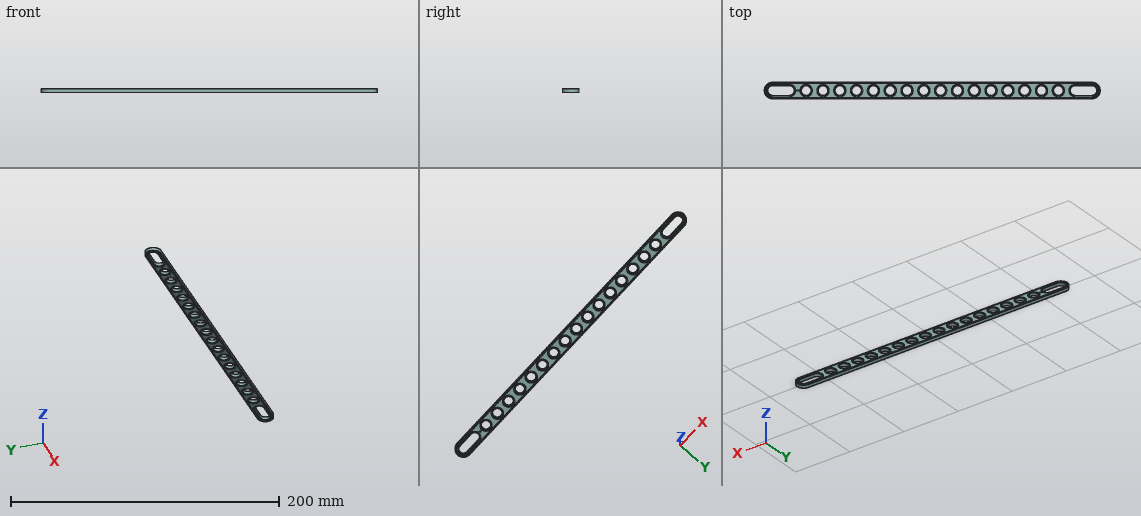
import cadquery as cq

LENGTH = 250.0
WIDTH = 12.5
WEB_THICKNESS = 2.8
RELIEF_HEIGHT = 0.18
THICKNESS = WEB_THICKNESS + 2 * RELIEF_HEIGHT
EDGE_CHAMFER = 0.3
CHAMFER_ANGLE = 45.0

PITCH = 12.5
HOLE_COUNT = 16
HOLE_DIAMETER = 7.0
BOSS_DIAMETER = 9.2
RIM_WALL = (BOSS_DIAMETER - HOLE_DIAMETER) / 2
FIRST_HOLE_X = -PITCH * (HOLE_COUNT - 1) / 2
HOLE_XS = [FIRST_HOLE_X + index * PITCH for index in range(HOLE_COUNT)]

SLOT_TRAVEL = PITCH
SLOT_CENTER_X = (LENGTH - WIDTH - SLOT_TRAVEL) / 2
SLOT_XS = [-SLOT_CENTER_X, SLOT_CENTER_X]

RIB_WIDTH = 1.0
RIB_START_X = -SLOT_CENTER_X + (SLOT_TRAVEL + HOLE_DIAMETER + RIM_WALL) / 2
RIB_END_X = FIRST_HOLE_X - (HOLE_DIAMETER + RIM_WALL) / 2


def slot_outline(travel, diameter, z=0.0):
    """Round-ended outline along X at height z; zero travel makes a circle."""
    plane = cq.Workplane("XY", origin=(0, 0, z))
    if travel > 0:
        return plane.slot2D(travel + diameter, diameter)
    return plane.circle(diameter / 2)


def centered_slot(travel, diameter, height):
    """Prism on a round-ended outline, centred on the origin."""
    return slot_outline(travel, diameter).extrude(height / 2, both=True)


def make_blank():
    """Full-thickness bar with round ends and chamfered outer edges."""
    blank = centered_slot(LENGTH - WIDTH, WIDTH, THICKNESS)
    return blank.faces("|Z").edges().chamfer(EDGE_CHAMFER)


def make_relief():
    """Material removed above the web: the area inside the rim, less bosses and rib."""
    relief = centered_slot(LENGTH - WIDTH, WIDTH - 2 * RIM_WALL, RELIEF_HEIGHT)
    hole_boss = centered_slot(0, BOSS_DIAMETER, RELIEF_HEIGHT)
    slot_boss = centered_slot(SLOT_TRAVEL, BOSS_DIAMETER, RELIEF_HEIGHT)
    for x in HOLE_XS:
        relief = relief.cut(hole_boss.translate((x, 0, 0)))
    for x in SLOT_XS:
        relief = relief.cut(slot_boss.translate((x, 0, 0)))
    rib = cq.Workplane("XY").box(RIB_END_X - RIB_START_X, RIB_WIDTH, RELIEF_HEIGHT)
    return relief.cut(rib.translate(((RIB_START_X + RIB_END_X) / 2, 0, 0)))


def make_opening(travel):
    """Through-opening cutter that flares into a chamfer at both faces."""
    bore = centered_slot(travel, HOLE_DIAMETER, THICKNESS)
    mouth_diameter = HOLE_DIAMETER + 2 * EDGE_CHAMFER
    mouth_outline = slot_outline(travel, mouth_diameter, THICKNESS / 2)
    top_flare = mouth_outline.extrude(-EDGE_CHAMFER, taper=CHAMFER_ANGLE)
    return bore.union(top_flare).union(top_flare.mirror("XY"))


def cut_reliefs(bar):
    """Recess the web on both faces."""
    relief = make_relief()
    offset = (THICKNESS - RELIEF_HEIGHT) / 2
    for z in (-offset, offset):
        bar = bar.cut(relief.translate((0, 0, z)))
    return bar


def cut_openings(bar):
    """Cut the hole row and the two end slots."""
    hole = make_opening(0)
    slot = make_opening(SLOT_TRAVEL)
    for x in HOLE_XS:
        bar = bar.cut(hole.translate((x, 0, 0)))
    for x in SLOT_XS:
        bar = bar.cut(slot.translate((x, 0, 0)))
    return bar


result = cut_openings(cut_reliefs(make_blank()))